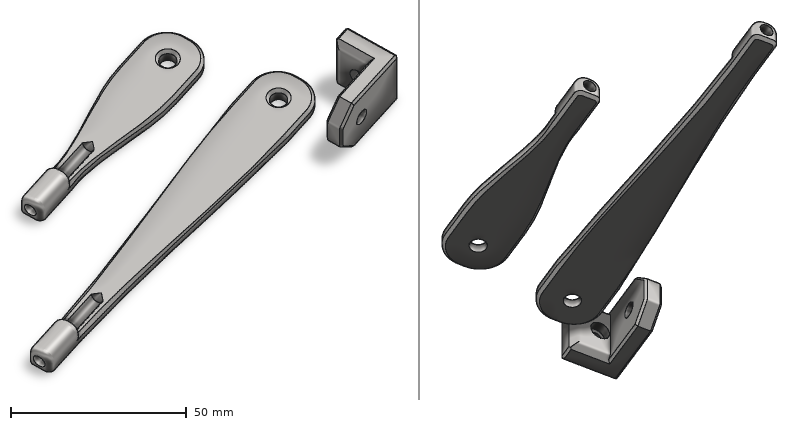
import cadquery as cq
overall_x = 70.0
overall_y = 139.8
overall_z = 20.0
edge_chamfer = 1.0

paddle_width = 20.0
paddle_thickness = 4.0
paddle_corner_radius = 9.0
hang_hole_inset = 9.9
hang_hole_diameter = 5.2
handle_spacing = 34.0

pin_width = 8.0
pin_height = 8.0
pin_length = 15.0
pin_side_radius = 3.5
pin_end_radius = 2.0
bore_diameter = 4.0
bore_depth = 28.5

short_length = 77.4
short_tip_y = 43.3
short_straight = 20.0
short_waist = [(9.5, 50.3), (4.0, 22.4)]

long_length = 127.5
long_straight = 19.5
long_waist = [(8.5, 86.7), (5.5, 47.5)]

bracket_width = 18.0
bracket_depth = 28.0
plate_thickness = 7.0
arm_thickness = 5.6
plate_bevel = 2.0
plate_bevel_radius = 2.0
nose_cut = 5.9
nose_radius = 2.0
bracket_chamfer = 0.75
plate_hole_diameter = 3.4
plate_hole_inset = 9.0
counterbore_diameter = 6.0
counterbore_depth = 3.0
arm_hole_diameter = 4.9
arm_hole_inset = 18.0


def paddle(length, straight, waist):
    """Chamfered flat blade, tip at the origin, round end toward +Y."""
    half = paddle_width / 2
    pin_half = pin_width / 2
    shoulder = length - straight
    right_side = waist + [(pin_half, pin_length)]
    left_side = [(-x, y) for x, y in reversed(waist)] + [(-half, shoulder)]
    blade = (
        cq.Workplane("XY")
        .moveTo(-half, length)
        .lineTo(half, length)
        .lineTo(half, shoulder)
        .spline(right_side, includeCurrent=True)
        .lineTo(pin_half, 0)
        .lineTo(-pin_half, 0)
        .lineTo(-pin_half, pin_length)
        .spline(left_side, includeCurrent=True)
        .close()
        .extrude(paddle_thickness)
    )
    blade = blade.edges("|Z and >Y").fillet(paddle_corner_radius)
    blade = blade.edges("|Z and <Y").fillet(pin_end_radius)
    blade = blade.faces("<Z or >Z").edges().chamfer(edge_chamfer)
    return (
        blade.faces(">Z")
        .workplane(origin=(0, length - hang_hole_inset, paddle_thickness))
        .cskHole(hang_hole_diameter, hang_hole_diameter + 2 * edge_chamfer, 90)
    )


def pin():
    """Rounded block standing on the paddle's narrow end."""
    base = edge_chamfer
    block = cq.Workplane("XY").box(
        pin_width, pin_length, pin_height - base, centered=(True, False, False)
    )
    block = block.edges("|Y and >Z").fillet(pin_side_radius)
    block = block.faces("<Y").edges("not <Z").fillet(pin_end_radius)
    block = block.faces(">Y").edges("not <Z").fillet(pin_end_radius)
    return block.translate((0, 0, base))


def pin_bore():
    """Blind bore along the handle's axis with a 90 degree conical tip."""
    radius = bore_diameter / 2
    profile = (
        cq.Workplane("XY")
        .polyline([(0, 0), (radius, 0), (radius, bore_depth), (0, bore_depth + radius)])
        .close()
    )
    bore = profile.revolve(360, (0, 0, 0), (0, 1, 0))
    return bore.translate((0, 0, pin_height / 2))


def handle(center_x, tip_y, length, straight, waist):
    body = paddle(length, straight, waist).union(pin()).cut(pin_bore())
    return body.translate((center_x, tip_y, 0))


def bracket_plate():
    """Back plate with its outer back corner on the Z axis; the front is deeply bevelled."""
    plate = cq.Workplane("XY").box(bracket_width, plate_thickness, overall_z, centered=False)
    plate = plate.translate((-bracket_width, -plate_thickness, 0))
    plate = plate.faces("<Y").edges("not >X").chamfer(plate_bevel)
    plate = plate.faces("<Y").edges("not >X").fillet(plate_bevel_radius)
    plate = plate.faces(">Y").edges().chamfer(bracket_chamfer)
    side_edges = plate.faces("<X").edges("|Y").add(plate.faces(">X").edges("|Y"))
    return side_edges.chamfer(bracket_chamfer)


def bracket_arm():
    """Side arm with a pointed nose, sharing the plate's outer back corner."""
    nose_y = -bracket_depth
    arm = (
        cq.Workplane("YZ")
        .polyline([
            (0, 0),
            (nose_y + nose_cut, 0),
            (nose_y, nose_cut),
            (nose_y, overall_z - nose_cut),
            (nose_y + nose_cut, overall_z),
            (0, overall_z),
        ])
        .close()
        .extrude(-arm_thickness)
    )
    arm = arm.faces("<Y").edges("|X").fillet(nose_radius)
    arm = arm.faces(">Y").edges("|X").chamfer(bracket_chamfer)
    return arm.faces("<X or >X").edges().chamfer(bracket_chamfer)


def bracket():
    """Plate and arm joined into one L, drilled and moved into place."""
    body = bracket_plate().union(bracket_arm())
    mid_z = overall_z / 2

    plate_hole_x = -plate_hole_inset
    front = cq.Workplane("XZ", origin=(plate_hole_x, -plate_thickness, mid_z))
    body = body.cut(front.circle(plate_hole_diameter / 2).extrude(-plate_thickness))
    body = body.cut(front.circle(counterbore_diameter / 2).extrude(-counterbore_depth))

    side = cq.Workplane("YZ", origin=(0, -arm_hole_inset, mid_z))
    body = body.cut(side.circle(arm_hole_diameter / 2).extrude(-arm_thickness))
    return body.translate((overall_x, overall_y, 0))


short_handle = handle(paddle_width / 2, short_tip_y, short_length, short_straight, short_waist)
long_handle = handle(paddle_width / 2 + handle_spacing, 0, long_length, long_straight, long_waist)
corner_bracket = bracket()

result = cq.Compound.makeCompound([short_handle.val(), long_handle.val(), corner_bracket.val()])